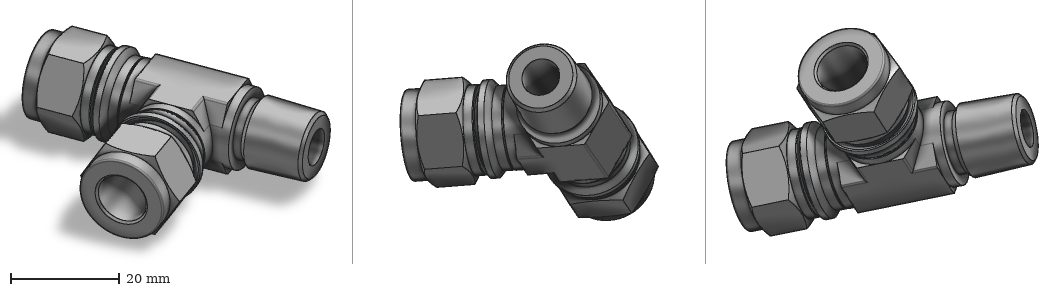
import cadquery as cq
import math

tube_arm_length = 30.65
thread_arm_length = 25.4
bore_diameter = 7.1

body_diameter = 15.9
body_reach = 11.2
hex_reach = 9.4
edge_radius = 0.5

nut_flats = 17.5
nut_front = 2.95
nut_back = 11.95
nut_bevel_angle = 30
nose_diameter = 17.0
nose_rounding = 0.35
skirt_diameter = 16.8
skirt_end = 13.85
skirt_chamfer = 0.15
neck_diameter = 14.3
neck_end = 14.8
flange_diameter = 18.25
dish_diameter = 17.55
flange_rim_end = 16.1
shoulder_diameter = 15.8
shoulder_start = 17.25
groove_start = 19.1
groove_diameter = 15.35
socket_diameter = 9.75
socket_chamfer = 0.45
socket_depth = 15.7

thread_neck_diameter = 12.0
thread_neck_end = 12.8
thread_large_diameter = 14.05
thread_taper = 1 / 16
thread_end_chamfer = 0.6


def revolve_on_x(outline):
    """Turn an outline of (x, radius) points about the X axis."""
    return cq.Workplane("XY").polyline(outline).close().revolve(360, (0, 0, 0), (1, 0, 0))


def to_branch(arm):
    """Swing an arm that points to -X round to -Y."""
    return arm.rotate((0, 0, 0), (0, 0, 1), 90)


def nut_hexagon():
    """Hexagon with corners along Y and both ends bevelled to the nose diameter."""
    corner_radius = nut_flats / 2 / math.cos(math.radians(30))
    bevel_radius = nose_diameter / 2
    bevel_length = (corner_radius - bevel_radius) * math.tan(math.radians(nut_bevel_angle))
    front = nut_front - tube_arm_length
    back = nut_back - tube_arm_length
    prism = (
        cq.Workplane("YZ", origin=(front, 0, 0))
        .polygon(6, 2 * corner_radius)
        .extrude(back - front)
    )
    envelope = revolve_on_x([
        (front, 0),
        (front, bevel_radius),
        (front + bevel_length, corner_radius),
        (back - bevel_length, corner_radius),
        (back, bevel_radius),
        (back, 0),
    ])
    return prism.intersect(envelope)


def tube_arm():
    """Nut, flange and collar of a tube fitting pointing to -X."""
    nose_radius = nose_diameter / 2
    skirt_radius = skirt_diameter / 2
    dish_floor = neck_end + (dish_diameter - neck_diameter) / 2
    profile = [
        (0, 0),
        (0, nose_radius),
        (nut_front, nose_radius),
        (nut_front, skirt_radius),
        (skirt_end - skirt_chamfer, skirt_radius),
        (skirt_end, skirt_radius - skirt_chamfer),
        (skirt_end, neck_diameter / 2),
        (dish_floor, neck_diameter / 2),
        (neck_end, dish_diameter / 2),
        (neck_end, flange_diameter / 2),
        (flange_rim_end, flange_diameter / 2),
        (shoulder_start, shoulder_diameter / 2),
        (groove_start, shoulder_diameter / 2),
        (groove_start, groove_diameter / 2),
        (tube_arm_length - body_reach, groove_diameter / 2),
        (tube_arm_length - body_reach, body_diameter / 2),
        (tube_arm_length, body_diameter / 2),
        (tube_arm_length, 0),
    ]
    turned = revolve_on_x([(depth - tube_arm_length, radius) for depth, radius in profile])
    rounded = turned.faces("<X").edges().fillet(nose_rounding)
    return rounded.union(nut_hexagon())


def tube_bore():
    """Chamfered tube socket and bore of an arm pointing to -X, as far as the centre."""
    socket_radius = socket_diameter / 2
    profile = [
        (0, 0),
        (0, socket_radius + socket_chamfer),
        (socket_chamfer, socket_radius),
        (socket_depth, socket_radius),
        (socket_depth, bore_diameter / 2),
        (tube_arm_length, bore_diameter / 2),
        (tube_arm_length, 0),
    ]
    return revolve_on_x([(depth - tube_arm_length, radius) for depth, radius in profile])


def thread_arm():
    """Collar, relief neck and tapered thread pointing to +X."""
    thread_start = thread_neck_end + (thread_large_diameter - thread_neck_diameter) / 2
    taper_end = thread_arm_length - thread_end_chamfer
    taper_end_radius = (thread_large_diameter - thread_taper * (taper_end - thread_start)) / 2
    return revolve_on_x([
        (0, 0),
        (0, body_diameter / 2),
        (body_reach, body_diameter / 2),
        (body_reach, thread_neck_diameter / 2),
        (thread_neck_end, thread_neck_diameter / 2),
        (thread_start, thread_large_diameter / 2),
        (taper_end, taper_end_radius),
        (thread_arm_length, taper_end_radius - thread_end_chamfer),
        (thread_arm_length, 0),
    ])


def hexagon_bar(start, end):
    """Hexagonal bar along X with rounded edges and corners along Y."""
    across_corners = body_diameter / math.cos(math.radians(30))
    bar = cq.Workplane("YZ", origin=(start, 0, 0)).polygon(6, across_corners).extrude(end - start)
    return bar.edges("|X").fillet(edge_radius)


def body_hexagon():
    """Tee of hexagonal bars, cut off on the branch side where their faces touch the round collars."""
    touch_offset = body_diameter / 2 * math.cos(math.radians(30))
    run_keep = cq.Workplane("XY", origin=(0, -touch_offset, 0)).box(
        2 * hex_reach, touch_offset + body_diameter, body_diameter, centered=(True, False, True)
    )
    branch_keep = cq.Workplane("XY").box(2 * touch_offset, 2 * hex_reach, body_diameter)
    run = hexagon_bar(-hex_reach, hex_reach).intersect(run_keep)
    branch = to_branch(hexagon_bar(-hex_reach, 0)).intersect(branch_keep)
    return run.union(branch)


body = (
    tube_arm()
    .union(thread_arm())
    .union(to_branch(tube_arm()))
    .union(body_hexagon())
)
through_bore = cq.Workplane("YZ").circle(bore_diameter / 2).extrude(thread_arm_length)
result = (
    body.cut(tube_bore())
    .cut(through_bore)
    .cut(to_branch(tube_bore()))
)